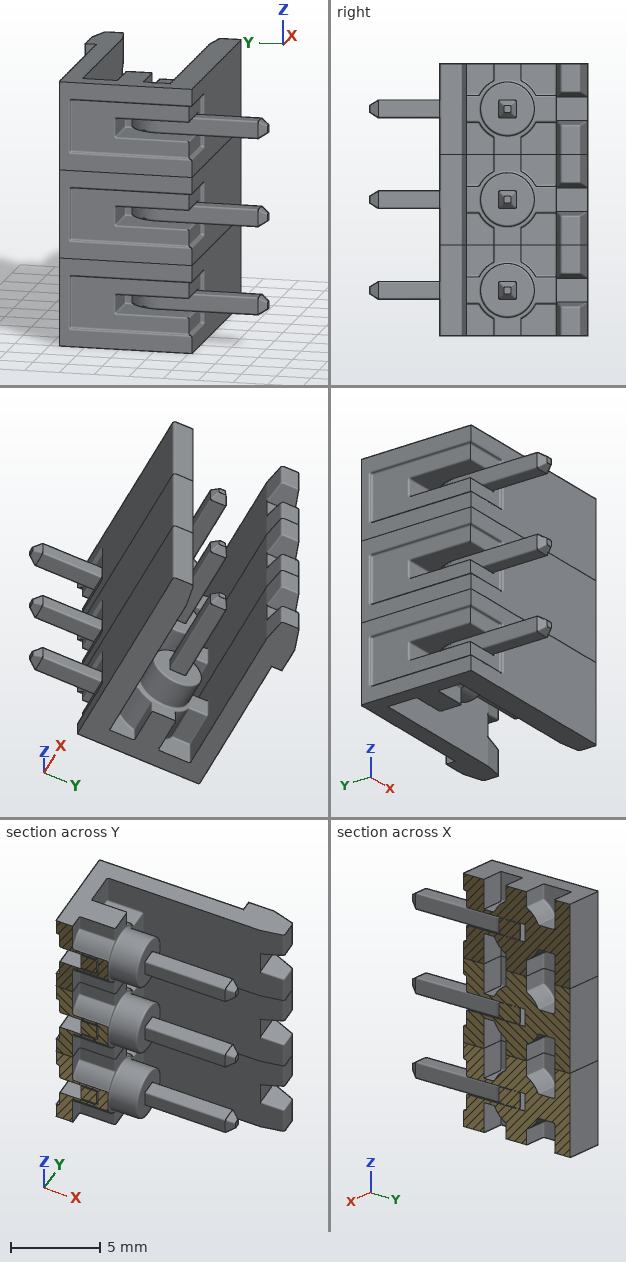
import cadquery as cq
import math

stack_height = 15.24
module_count = 3
pitch = stack_height / module_count
edge_radius = 0.1
margin = 0.02

housing_length = 12.0
housing_width = 7.65
back_wall = 1.05
near_arm = 1.5
latch_arm = 1.11
tip_radius = 0.15

taper_start = 10.6
inner_taper_drop = 0.25
hook_start = 9.0
hook_height = 0.64
hook_taper_drop = 0.43

notch_start = taper_start
notch_start_height = 1.31
notch_end_height = 1.83

block_front = 3.28
block_half_height = 0.75
barrel_radius = 1.75
bridge_width = 1.5
boss_radius = 1.51
boss_end = 5.0

recess_depth = 0.21
recess_height = 3.05
recess_length_x = 3.05
recess_length_y = 7.01
slot_height = 1.1
slot_depth_x = 2.59
slot_depth_y = 4.45

pin_size = 1.0
pin_axis_y = 3.8
leg_axis_x = 2.04
bend_radius = 1.46
contact_end = 10.5
leg_end = 3.92
tip_size = 0.4
tip_length = 0.49

inner_far = housing_width - latch_arm


def arms_and_back_wall():
    """Channel outline in plan, with the latch hook on the far arm."""
    hook_top = housing_width + hook_height
    outline = (
        cq.Workplane("XY", origin=(0, 0, -pitch / 2))
        .polyline([
            (0, 0),
            (housing_length, 0),
            (housing_length, near_arm - inner_taper_drop),
            (taper_start, near_arm),
            (back_wall, near_arm),
            (back_wall, inner_far),
            (taper_start, inner_far),
            (housing_length, inner_far + inner_taper_drop),
            (housing_length, hook_top - hook_taper_drop),
            (taper_start, hook_top),
            (hook_start, hook_top),
            (hook_start, housing_width),
            (0, housing_width),
        ])
        .close()
        .extrude(pitch)
    )
    rounded_tips = outline.faces(">X").edges("|Z").fillet(tip_radius)
    back_corner = cq.selectors.NearestToPointSelector((0, housing_width, 0))
    return rounded_tips.edges("|Z").edges(back_corner).fillet(edge_radius)


def edges_within(body, low, high):
    """Edges whose midpoints lie inside the box between two opposite corners."""
    return body.edges(cq.selectors.BoxSelector(low, high))


def cut_latch_notch(housing):
    """Notch through the latch tip, wider at its open end and eased along its inner edges."""
    cutter = (
        cq.Workplane("XZ", origin=(0, housing_width / 2, 0))
        .polyline([
            (notch_start, -notch_start_height / 2),
            (housing_length, -notch_end_height / 2),
            (housing_length, notch_end_height / 2),
            (notch_start, notch_start_height / 2),
        ])
        .close()
        .extrude(-housing_width)
    )
    inner_edges = edges_within(
        housing.cut(cutter),
        (notch_start + margin, inner_far, -notch_end_height / 2),
        (housing_length - tip_radius, inner_far + inner_taper_drop, notch_end_height / 2),
    )
    return inner_edges.fillet(edge_radius)


def boss():
    """Round boss around the pin, flared at its root and rounded at its end."""
    profile = (
        cq.Workplane("XY", origin=(0, pin_axis_y, 0))
        .moveTo(back_wall, 0)
        .lineTo(back_wall, boss_radius + edge_radius)
        .lineTo(block_front, boss_radius + edge_radius)
        .radiusArc((block_front + edge_radius, boss_radius), -edge_radius)
        .lineTo(boss_end - edge_radius, boss_radius)
        .radiusArc((boss_end, boss_radius - edge_radius), edge_radius)
        .lineTo(boss_end, 0)
        .close()
    )
    return profile.revolve(360, (0, 0, 0), (1, 0, 0))


def pin_block():
    """Low block with a barrel along the pin axis, under a bridge as high as the module."""
    length = block_front - back_wall
    centred = (False, True, True)
    centre_y = (near_arm + inner_far) / 2
    base = cq.Workplane("XY").box(length, inner_far - near_arm, 2 * block_half_height, centered=centred)
    bridge = cq.Workplane("XY").box(length, bridge_width, pitch, centered=centred)
    barrel = cq.Workplane("YZ", origin=(back_wall, pin_axis_y, 0)).circle(barrel_radius).extrude(length)
    return (
        base.translate((back_wall, centre_y, 0))
        .union(barrel)
        .union(bridge.translate((back_wall, pin_axis_y, 0)))
    )


def round_block_edges(housing):
    """Rounds beside the barrel, along the block's front, at the back wall and at the latch arm."""
    inside_x = back_wall + margin
    before_front = block_front - margin
    top = pitch / 2 - margin
    barrel_sides = edges_within(
        housing, (inside_x, near_arm + margin, -top), (before_front, inner_far - margin, top)
    )
    housing = barrel_sides.edges("|X").fillet(edge_radius)
    front = edges_within(
        housing, (before_front, near_arm, -barrel_radius), (block_front + margin, inner_far, barrel_radius)
    )
    housing = front.edges("not (|X or |Z)").fillet(edge_radius)
    back = edges_within(
        housing, (back_wall - margin, near_arm + margin, -top), (inside_x, inner_far - margin, top)
    )
    housing = back.edges("not |Z").fillet(edge_radius)
    latch_side = edges_within(
        housing, (inside_x, inner_far - margin, -top), (before_front - edge_radius, inner_far + margin, top)
    )
    return latch_side.edges("|X").fillet(edge_radius)


def corner_pocket(length_x, length_y, height):
    """Cutter with rounded edges that opens through the back wall and the near side."""
    overshoot = 0.76
    return (
        cq.Workplane("XY")
        .box(length_x + overshoot, length_y + overshoot, height, centered=(False, False, True))
        .translate((-overshoot, -overshoot, 0))
        .edges()
        .fillet(edge_radius)
    )


def round_mouth(housing, depth, length_x, length_y, height, corner):
    """Round the rim of a corner pocket whose mouth lies this deep behind both outer faces."""
    start = depth - margin
    reach = depth + corner + margin
    top = height / 2 + margin
    in_back = cq.selectors.BoxSelector((start, start, -top), (reach, length_y + margin, top))
    in_side = cq.selectors.BoxSelector((start, start, -top), (length_x + margin, reach, top))
    return housing.edges(in_back + in_side).fillet(edge_radius)


def cut_recess(housing):
    back = corner_pocket(recess_depth, recess_length_y, recess_height)
    side = corner_pocket(recess_length_x, recess_depth, recess_height)
    return round_mouth(housing.cut(back).cut(side), 0, recess_length_x, recess_length_y, recess_height, 0)


def cut_slot(housing):
    """Slot in the recess floor, whose rim follows the rounded corner of that floor."""
    cut = housing.cut(corner_pocket(slot_depth_x, slot_depth_y, slot_height))
    return round_mouth(cut, recess_depth, slot_depth_x, slot_depth_y, slot_height, edge_radius)


def straight_pin(length):
    """Square pin along +Z with a pyramid tip and eased long edges."""
    taper = math.degrees(math.atan((pin_size - tip_size) / 2 / tip_length))
    shank = cq.Workplane("XY").rect(pin_size, pin_size).extrude(length - tip_length)
    tip = shank.faces(">Z").workplane().rect(pin_size, pin_size).extrude(tip_length, taper=taper)
    return tip.edges("not(#Z) or >Z").fillet(edge_radius)


def bent_pin():
    bend_x = leg_axis_x + bend_radius
    bend_y = pin_axis_y - bend_radius
    contact = (
        straight_pin(contact_end - bend_x)
        .rotate((0, 0, 0), (0, 1, 0), 90)
        .translate((bend_x, pin_axis_y, 0))
    )
    leg = (
        straight_pin(bend_y + leg_end)
        .rotate((0, 0, 0), (1, 0, 0), 90)
        .translate((leg_axis_x, bend_y, 0))
    )
    bend = (
        cq.Workplane("XZ", origin=(leg_axis_x, bend_y, 0))
        .placeSketch(cq.Sketch().rect(pin_size, pin_size).vertices().fillet(edge_radius))
        .revolve(90, (bend_radius, 0, 0), (bend_radius, -1, 0))
    )
    return contact.union(leg).union(bend)


def module():
    housing = cut_latch_notch(arms_and_back_wall())
    housing = round_block_edges(housing.union(pin_block()))
    housing = cut_slot(cut_recess(housing.union(boss())))
    return housing.union(bent_pin())


one_module = module()
modules = [one_module.translate((0, 0, pitch * (i + 0.5))) for i in range(module_count)]
result = cq.Compound.makeCompound([m.val() for m in modules])